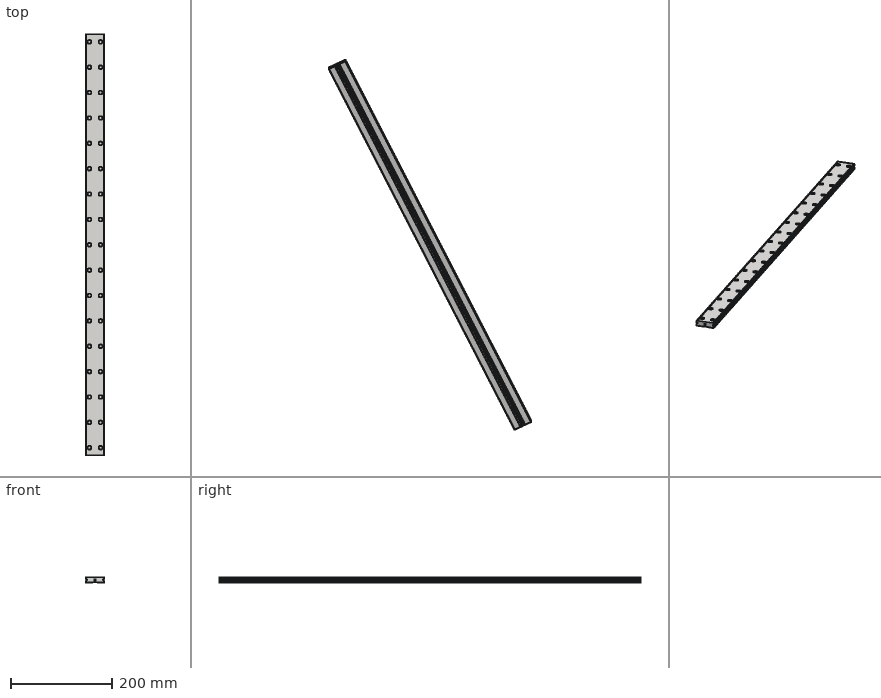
import cadquery as cq

width = 37.0
length = 830.0
height = 11.0

top_chamfer = 1.5
bottom_chamfer = 0.75

groove_depth = 2.3
groove_floor_height = 0.4
groove_center_z = 5.35

relief_width = 10.6
relief_flank_run = 0.4
relief_depth = 0.6
slot_width = 2.5
slot_top_z = 6.3

recess_diameter = 7.5
recess_depth = 0.3
recess_pitch = 50.0
recess_row_spacing = 22.0
end_margin = 15.0
recesses_per_row = round((length - 2 * end_margin) / recess_pitch) + 1


def rail_body():
    """Extrude the symmetric rail section along Y, centred on the origin."""
    half_width = width / 2
    half_slot = slot_width / 2
    half_relief = relief_width / 2
    half_floor = groove_floor_height / 2
    half_mouth = half_floor + groove_depth
    right_half = [
        (half_slot, slot_top_z),
        (half_slot, relief_depth),
        (half_relief - relief_flank_run, relief_depth),
        (half_relief, 0),
        (half_width - bottom_chamfer, 0),
        (half_width, bottom_chamfer),
        (half_width, groove_center_z - half_mouth),
        (half_width - groove_depth, groove_center_z - half_floor),
        (half_width - groove_depth, groove_center_z + half_floor),
        (half_width, groove_center_z + half_mouth),
        (half_width, height - top_chamfer),
        (half_width - top_chamfer, height),
    ]
    left_half = [(-x, z) for x, z in reversed(right_half)]
    section = cq.Workplane("XZ").polyline(right_half + left_half).close()
    return section.extrude(length / 2, both=True)


def top_recesses():
    """Discs that fill the recesses, hanging down from the top face."""
    return (
        cq.Workplane("XY", origin=(0, 0, height))
        .rarray(recess_row_spacing, recess_pitch, 2, recesses_per_row)
        .circle(recess_diameter / 2)
        .extrude(-recess_depth)
    )


result = rail_body().cut(top_recesses())